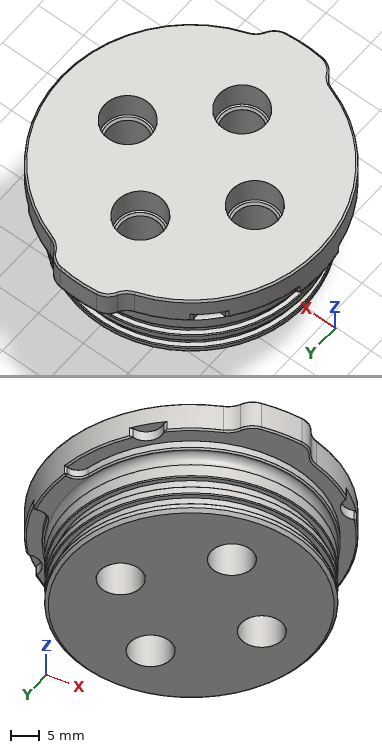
import cadquery as cq
import math

total_height = 21.5
flange_bottom = 15.5
collar_bottom = 13.7

flange_radius = 29.0
ear_tip_radius = 31.7
ear_tip_half_width = 4.05
ear_blend_radius = 4.0
top_chamfer = 0.4
bottom_chamfer = 0.3

collar_radius = 25.9
key_width = 11.3
key_half_angle = math.asin(key_width / 2 / flange_radius)
key_fillet = 2.5

spigot_radius = 50.95 / 2
groove_radius = 48.7 / 2
neck_top_radius = 25.4
neck_waist_radius = 23.9
spigot_top = 10.4
neck_waist_height = (spigot_top + collar_bottom) / 2
seal_grooves = ((1.7, 3.8), (5.5, 7.75))
rib_chamfer = 0.2
end_chamfer = 0.65

hole_offset = 14.15
hole_diameter = 8.5
hole_chamfer = 0.45
bore_diameter = 10.2
bore_depth = 6.1

notch_radius = 3.25
flare_root_radius = 28.55
flare_root_half_width = 2.8
flare_slope = 0.4
notch_center_radius = flare_root_radius + math.sqrt(notch_radius**2 - flare_root_half_width**2)
notch_top = 17.5


def from_y_axis(radius, angle):
    """Point at a radius, turned by an angle from +Y toward +X."""
    return (radius * math.sin(angle), radius * math.cos(angle))


def flange_outline():
    """Disc outline with two ears on the Y axis, blended in by equal tangent arcs."""
    corner_center = ear_tip_radius - ear_blend_radius
    root_center = flange_radius + ear_blend_radius
    corner_angle = math.asin(ear_tip_half_width / ear_tip_radius)
    center_gap = 2 * ear_blend_radius
    cos_spread = (corner_center**2 + root_center**2 - center_gap**2) / (2 * corner_center * root_center)
    root_angle = corner_angle + math.acos(cos_spread)

    corner = from_y_axis(corner_center, corner_angle)
    root = from_y_axis(root_center, root_angle)
    tip_end = from_y_axis(ear_tip_radius, corner_angle)
    inflection = ((corner[0] + root[0]) / 2, (corner[1] + root[1]) / 2)
    root_end = from_y_axis(flange_radius, root_angle)

    def blend_middle(center, start, end):
        dx = start[0] + end[0] - 2 * center[0]
        dy = start[1] + end[1] - 2 * center[1]
        stretch = ear_blend_radius / math.hypot(dx, dy)
        return (center[0] + dx * stretch, center[1] + dy * stretch)

    corner_middle = blend_middle(corner, tip_end, inflection)
    root_middle = blend_middle(root, inflection, root_end)

    def at(point, x_sign, y_sign):
        return (x_sign * point[0], y_sign * point[1])

    outline = cq.Workplane("XY", origin=(0, 0, collar_bottom)).moveTo(*at(tip_end, -1, 1))
    for side in (1, -1):
        outline = (
            outline.threePointArc((0, side * ear_tip_radius), at(tip_end, side, side))
            .threePointArc(at(corner_middle, side, side), at(inflection, side, side))
            .threePointArc(at(root_middle, side, side), at(root_end, side, side))
            .threePointArc((side * flange_radius, 0), at(root_end, side, -side))
            .threePointArc(at(root_middle, side, -side), at(inflection, side, -side))
            .threePointArc(at(corner_middle, side, -side), at(tip_end, side, -side))
        )
    return outline.close()


def collar_gap():
    """Space around the collar, leaving the filleted, radial-sided key standing on the -X side."""
    height = flange_bottom - collar_bottom
    base = cq.Workplane("XY", origin=(0, 0, collar_bottom))
    disc = base.circle(collar_radius).extrude(height)
    sector_half_width = ear_tip_radius * math.tan(key_half_angle)
    key = (
        base.moveTo(0, 0)
        .lineTo(-ear_tip_radius, sector_half_width)
        .lineTo(-ear_tip_radius, -sector_half_width)
        .close()
        .extrude(height)
    )
    corner_x = collar_radius * math.cos(key_half_angle)
    corners = cq.selectors.BoxSelector(
        (-corner_x - 0.05, -key_width, collar_bottom), (-corner_x + 0.05, key_width, flange_bottom)
    )
    kept = disc.union(key).edges("|Z").edges(corners).fillet(key_fillet)
    surround = base.rect(3 * ear_tip_radius, 3 * ear_tip_radius).extrude(height)
    return surround.cut(kept)


def is_lower_rim(edge):
    """True for the outer edges of the flange underside, the key and the collar's lower face."""
    on_rim = all(
        math.hypot(end.x, end.y) > flange_radius - 0.005 for end in (edge.startPoint(), edge.endPoint())
    )
    height = edge.Center().z
    return height < collar_bottom + 0.005 or (on_rim and height < flange_bottom + 0.005)


def flange():
    """Flange and collar in one piece, with its upper and lower rims chamfered."""
    body = flange_outline().extrude(total_height - collar_bottom)
    body = body.faces(">Z").edges().chamfer(top_chamfer)
    body = body.cut(collar_gap())
    lower_rim = [edge for edge in body.edges().vals() if is_lower_rim(edge)]
    return body.newObject(lower_rim).chamfer(bottom_chamfer)


def notched(plate):
    """Cut a scallop with a flared mouth into the lower rim of the flange on each diagonal."""
    depth = notch_top - flange_bottom
    base = cq.Workplane("XY", origin=(0, 0, flange_bottom))
    scallop = base.center(notch_center_radius, 0).circle(notch_radius).extrude(depth)
    apex_radius = flare_root_radius - flare_root_half_width * flare_slope
    flare_half_width = (ear_tip_radius - apex_radius) / flare_slope
    flare = (
        base.moveTo(apex_radius, 0)
        .lineTo(ear_tip_radius, flare_half_width)
        .lineTo(ear_tip_radius, -flare_half_width)
        .close()
        .extrude(depth)
    )
    notch = scallop.union(flare)
    for angle in (45, 135, 225, 315):
        plate = plate.cut(notch.rotate((0, 0, 0), (0, 0, 1), angle))
    return plate


def spigot():
    """Revolved spigot with a curved neck, two seal grooves and a chamfered end."""
    profile = (
        cq.Workplane("XZ")
        .moveTo(0, 0)
        .lineTo(spigot_radius - end_chamfer, 0)
        .lineTo(spigot_radius, end_chamfer)
    )
    for low, high in seal_grooves:
        profile = (
            profile.lineTo(spigot_radius, low - rib_chamfer)
            .lineTo(spigot_radius - rib_chamfer, low)
            .lineTo(groove_radius, low)
            .lineTo(groove_radius, high)
            .lineTo(spigot_radius - rib_chamfer, high)
            .lineTo(spigot_radius, high + rib_chamfer)
        )
    profile = (
        profile.lineTo(spigot_radius, spigot_top)
        .threePointArc((neck_waist_radius, neck_waist_height), (neck_top_radius, collar_bottom))
        .lineTo(0, collar_bottom)
        .close()
    )
    return profile.revolve(360, (0, 0, 0), (0, 1, 0))


def hole_cutter():
    """Through hole with a chamfered mouth at the foot of a flat counterbore."""
    ledge = total_height - bore_depth
    hole_radius = hole_diameter / 2
    bore_radius = bore_diameter / 2
    return (
        cq.Workplane("XZ")
        .polyline(
            [
                (0, 0),
                (hole_radius, 0),
                (hole_radius, ledge - hole_chamfer),
                (hole_radius + hole_chamfer, ledge),
                (bore_radius, ledge),
                (bore_radius, total_height),
                (0, total_height),
            ]
        )
        .close()
        .revolve(360, (0, 0, 0), (0, 1, 0))
    )


result = notched(flange()).union(spigot())
for x, y in ((hole_offset, 0), (-hole_offset, 0), (0, hole_offset), (0, -hole_offset)):
    result = result.cut(hole_cutter().translate((x, y, 0)))